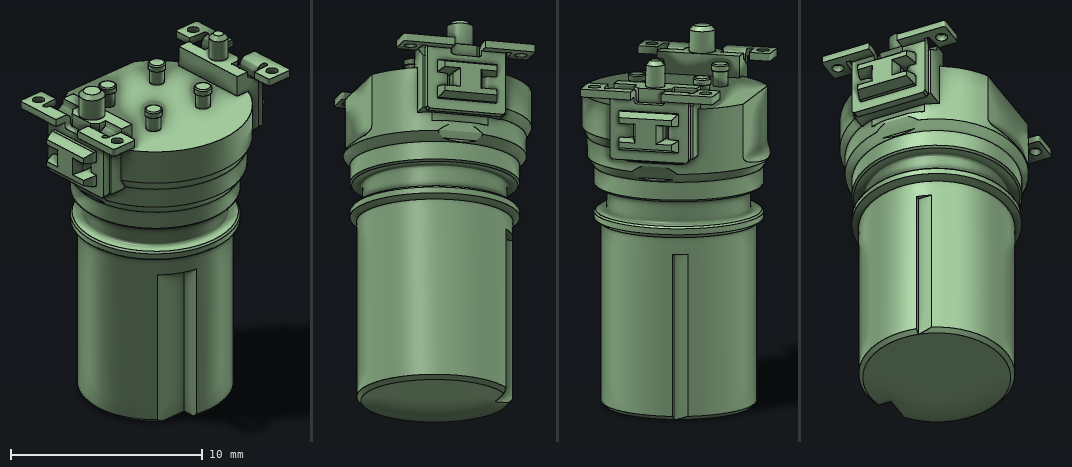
import cadquery as cq
import math

barrel_r = 4.09
barrel_chamfer = 0.22
flange_r = 4.45
flange_z0, flange_rim_z0, flange_z1 = 9.79, 10.02, 10.44
flange_chamfer = 0.1
groove_r = 3.77
groove_fillet = 0.15
collar_z0, collar_z1 = 11.77, 12.83
collar_chamfer = 0.1
head_r = 4.8
head_z0, head_z1 = 13.33, 16.79
crown_r = 5.08
crown_cone_z0, crown_z0 = 14.4, 14.92

side_flat_x = 4.17
side_flat_runout_r = 0.43
side_flat_lip = 0.08
side_flat_runout_angle = math.radians(25)

notch_top_z = 8.88
notch_wall = 0.8
front_notch_floor = 3.07
back_notch_floor = 3.78

relief_flat_y = 4.55
relief_ledge_z = 13.87
relief_half_width = 2.0
relief_lip_y, relief_lip_z = 4.75, 13.67
relief_knee_y, relief_knee_z = 4.65, 13.36
relief_foot_y, relief_foot_z = 4.47, 12.99

block_half_x = 2.25
block_y0, block_y1 = 3.76, 5.27
block_z0, block_z1 = 14.33, 17.96
step_y = 4.5
step_z, step_low_z = 17.68, 17.17
step_fillet = 0.22
tongue_half_x, tongue_tip_half_x = 1.03, 0.71
tongue_taper_y = 4.93

sheet_t = 0.42
bend_r = 0.415
plate_half_x = 2.13
plate_z0 = 14.18
plate_corner = 0.12
bend_y1 = block_y1 + sheet_t
bracket_z1 = block_z1
bracket_half_x = 3.61
bracket_y1 = 6.33
ear_tip_inner_x, ear_root_inner_x = 2.49, 2.42
ear_y0 = 4.77
ear_corner = 0.15
ear_slot_y = 5.83
ear_slot_fillet = 0.1
ear_hole_x, ear_hole_y, ear_hole_d = 3.02, 5.53, 0.62
gap_half_x, gap_z0, gap_fillet = 0.83, 17.21, 0.18

latch_z = 15.78
latch_half_x, latch_half_z = 1.6, 1.03
latch_face_half_x, latch_face_half_z = 1.42, 0.81
latch_base_y = 5.88
latch_face_y = 6.45
window_half_z, window_face_half_z = 0.4, 0.5
web_half_x, web_face_half_x = 0.79, 0.57
opening_half_x = 0.93

peg_y = 4.52
peg_z1 = 19.35
peg_chamfer = 0.23
front_peg_d, back_peg_d = 1.38, 1.0
pin_pitch = 3.53
pin_z1 = 17.96
pin_stem_r, pin_head_r = 0.39, 0.46
pin_head_h = 0.36
pin_chamfer = 0.07


def box(x0, x1, y0, y1, z0, z1):
    return cq.Workplane("XY").box(x1 - x0, y1 - y0, z1 - z0, centered=False).translate((x0, y0, z0))


def prism_along_x(points, half_x):
    """Extrude a (y, z) outline symmetrically along X."""
    return cq.Workplane("YZ").polyline(points).close().extrude(half_x, both=True)


def turned_body():
    f = groove_fillet
    mid = f * (1 - math.sqrt(0.5))
    profile = (
        cq.Workplane("YZ")
        .moveTo(0, 0)
        .lineTo(-(barrel_r - barrel_chamfer), 0)
        .lineTo(-barrel_r, barrel_chamfer)
        .lineTo(-barrel_r, flange_z0)
        .lineTo(-flange_r, flange_rim_z0)
        .lineTo(-flange_r, flange_z1 - flange_chamfer)
        .lineTo(-(flange_r - flange_chamfer), flange_z1)
        .lineTo(-(groove_r + f), flange_z1)
        .threePointArc((-(groove_r + mid), flange_z1 + mid), (-groove_r, flange_z1 + f))
        .lineTo(-groove_r, collar_z0 - f)
        .threePointArc((-(groove_r + mid), collar_z0 - mid), (-(groove_r + f), collar_z0))
        .lineTo(-(flange_r - collar_chamfer), collar_z0)
        .lineTo(-flange_r, collar_z0 + collar_chamfer)
        .lineTo(-flange_r, collar_z1)
        .lineTo(-head_r, head_z0)
        .lineTo(-head_r, head_z1)
        .lineTo(0, head_z1)
        .close()
    )
    return profile.revolve(360, (0, 0, 0), (0, 1, 0))


def crown():
    """Half-turn of larger radius that widens the +X side of the head."""
    profile = (
        cq.Workplane("YZ")
        .moveTo(0, crown_cone_z0)
        .lineTo(-head_r, crown_cone_z0)
        .lineTo(-crown_r, crown_z0)
        .lineTo(-crown_r, head_z1)
        .lineTo(0, head_z1)
        .close()
    )
    return profile.revolve(180, (0, 0, 0), (0, 1, 0))


def side_flat_cut():
    """Flat on -X that runs out to the head's rim through a concave radius and a short slope."""
    r = side_flat_runout_r
    turn = math.pi / 2 - side_flat_runout_angle
    arc_end_x = side_flat_x + r * (1 - math.cos(turn))
    rim_z = head_z0 + side_flat_lip
    arc_end_z = rim_z + (head_r - arc_end_x) * math.tan(side_flat_runout_angle)
    arc_start_z = arc_end_z + r * math.sin(turn)
    arc_mid_x = side_flat_x + r * (1 - math.cos(turn / 2))
    arc_mid_z = arc_start_z - r * math.sin(turn / 2)
    reach = head_r + 1
    outline = (
        cq.Workplane("XZ")
        .moveTo(-side_flat_x, head_z1)
        .lineTo(-side_flat_x, arc_start_z)
        .threePointArc((-arc_mid_x, arc_mid_z), (-arc_end_x, arc_end_z))
        .lineTo(-head_r, rim_z)
        .lineTo(-reach, rim_z)
        .lineTo(-reach, head_z1)
        .close()
    )
    return outline.extrude(head_r, both=True)


def barrel_notches():
    reach = barrel_r + 1
    front = box(front_notch_floor, reach, -reach, -notch_wall, 0, notch_top_z)
    back = box(-reach, -notch_wall, back_notch_floor, reach, 0, notch_top_z)
    return front.union(back)


def relief_cut():
    reach = head_r + 1
    return prism_along_x(
        [
            (-reach, head_z1),
            (-relief_flat_y, head_z1),
            (-relief_flat_y, relief_ledge_z),
            (-relief_lip_y, relief_ledge_z),
            (-relief_lip_y, relief_lip_z),
            (-relief_knee_y, relief_knee_z),
            (-relief_foot_y, relief_foot_z),
            (-relief_foot_y, collar_z1),
            (-reach, collar_z1),
        ],
        relief_half_width,
    )


def carrier_block():
    """Block with a sloped step on its outer top edge and a tapered tongue in the middle."""
    stepped = prism_along_x(
        [
            (-block_y0, block_z0),
            (-block_y0, block_z1),
            (-step_y, block_z1),
            (-step_y, step_z),
            (-block_y1, step_low_z),
            (-block_y1, block_z0),
        ],
        block_half_x,
    )
    foot_of_step = cq.selectors.NearestToPointSelector((0, -step_y, step_z))
    stepped = stepped.edges("|X").edges(foot_of_step).fillet(step_fillet)
    tongue = (
        cq.Workplane("XY", origin=(0, 0, block_z0))
        .polyline(
            [
                (-tongue_half_x, -block_y0),
                (-tongue_half_x, -tongue_taper_y),
                (-tongue_tip_half_x, -block_y1),
                (tongue_tip_half_x, -block_y1),
                (tongue_half_x, -tongue_taper_y),
                (tongue_half_x, -block_y0),
            ]
        )
        .close()
        .extrude(block_z1 - block_z0)
    )
    return stepped.union(tongue)


def bracket():
    """Upright plate bent outwards into a strip with a drilled ear at each end."""
    plate = (
        box(-plate_half_x, plate_half_x, -bend_y1, -block_y1, plate_z0, bracket_z1)
        .edges("|Y and <Z").chamfer(plate_corner)
        .edges("|X and >Y and >Z").fillet(bend_r)
    )
    strip_z0 = bracket_z1 - sheet_t
    strip = (
        box(-bracket_half_x, bracket_half_x, -bracket_y1, -ear_y0, strip_z0, bracket_z1)
        .cut(box(-plate_half_x, plate_half_x, -bend_y1, -ear_y0, strip_z0, bracket_z1))
    )
    strip = strip.edges("|Z and (<X or >X)").fillet(ear_corner)
    for side in (-1, 1):
        hole = cq.Workplane("XY").circle(ear_hole_d / 2).extrude(bracket_z1)
        slot = (
            cq.Workplane("XY")
            .moveTo(side * plate_half_x, -ear_y0)
            .lineTo(side * plate_half_x, -ear_slot_y)
            .lineTo(side * ear_root_inner_x, -ear_slot_y)
            .lineTo(side * ear_tip_inner_x, -ear_y0)
            .close()
            .extrude(bracket_z1)
            .edges("|Z and <Y").fillet(ear_slot_fillet)
        )
        strip = strip.cut(slot).cut(hole.translate((side * ear_hole_x, -ear_hole_y, 0)))
    gap = (
        box(-gap_half_x, gap_half_x, -bracket_y1, -block_y1, gap_z0, bracket_z1)
        .edges("|Y and <Z").fillet(gap_fillet)
    )
    return plate.union(strip).cut(gap)


def window_opening(side):
    """Opening through the plate beside the latch web, its outer rim rounded over."""
    web = side * web_half_x
    rim = side * opening_half_x
    outer = side * (opening_half_x + sheet_t)
    bulge = side * (opening_half_x + sheet_t * (1 - math.sqrt(0.5)))
    return (
        cq.Workplane("XY", origin=(0, 0, latch_z - window_half_z))
        .moveTo(web, -block_y1)
        .lineTo(rim, -block_y1)
        .threePointArc((bulge, -bend_y1 + sheet_t * (1 - math.sqrt(0.5))), (outer, -bend_y1))
        .lineTo(web, -bend_y1)
        .close()
        .extrude(2 * window_half_z)
    )


def frustum_along_y(base_half_x, base_half_z, face_half_x, face_half_z):
    """Tapered block from the latch base to its outer face."""
    return (
        cq.Workplane("XZ", origin=(0, -latch_base_y, latch_z))
        .rect(2 * base_half_x, 2 * base_half_z)
        .workplane(offset=latch_face_y - latch_base_y)
        .rect(2 * face_half_x, 2 * face_half_z)
        .loft()
    )


def latch():
    """Tapered H: a solid block with an open window on either side of the web."""
    y0, y1 = -latch_base_y, -bend_y1
    z0, z1 = latch_z - latch_half_z, latch_z + latch_half_z
    body = box(-latch_half_x, latch_half_x, y0, y1, z0, z1)
    body = body.union(frustum_along_y(latch_half_x, latch_half_z, latch_face_half_x, latch_face_half_z))

    z0, z1 = latch_z - window_half_z, latch_z + window_half_z
    window = box(-bracket_half_x, bracket_half_x, y0, y1, z0, z1)
    window = window.union(
        frustum_along_y(bracket_half_x, window_half_z, bracket_half_x, window_face_half_z)
    )
    web = box(-web_half_x, web_half_x, y0, y1, z0, z1)
    web = web.union(frustum_along_y(web_half_x, latch_half_z, web_face_half_x, latch_half_z))
    return body.cut(window.cut(web))


def peg(diameter):
    return (
        cq.Workplane("XY", origin=(0, -peg_y, block_z0))
        .circle(diameter / 2)
        .extrude(peg_z1 - block_z0)
        .faces(">Z").chamfer(peg_chamfer)
    )


def clip(peg_diameter):
    """Complete clip on the -Y side."""
    metal = bracket()
    for side in (-1, 1):
        metal = metal.cut(window_opening(side))
    return carrier_block().union(metal).union(latch()).union(peg(peg_diameter))


def contact_pin():
    stem = cq.Workplane("XY", origin=(0, 0, head_z0)).circle(pin_stem_r).extrude(pin_z1 - head_z0)
    head = (
        cq.Workplane("XY", origin=(0, 0, pin_z1 - pin_head_h))
        .circle(pin_head_r)
        .extrude(pin_head_h)
        .faces(">Z").chamfer(pin_chamfer)
    )
    return stem.union(head)


relief = relief_cut()
result = turned_body().union(crown())
result = result.cut(side_flat_cut()).cut(barrel_notches())
result = result.cut(relief).cut(relief.mirror("XZ"))
result = result.union(clip(front_peg_d)).union(clip(back_peg_d).mirror("XZ"))
for x in (-pin_pitch / 2, pin_pitch / 2):
    for y in (-pin_pitch / 2, pin_pitch / 2):
        result = result.union(contact_pin().translate((x, y, 0)))